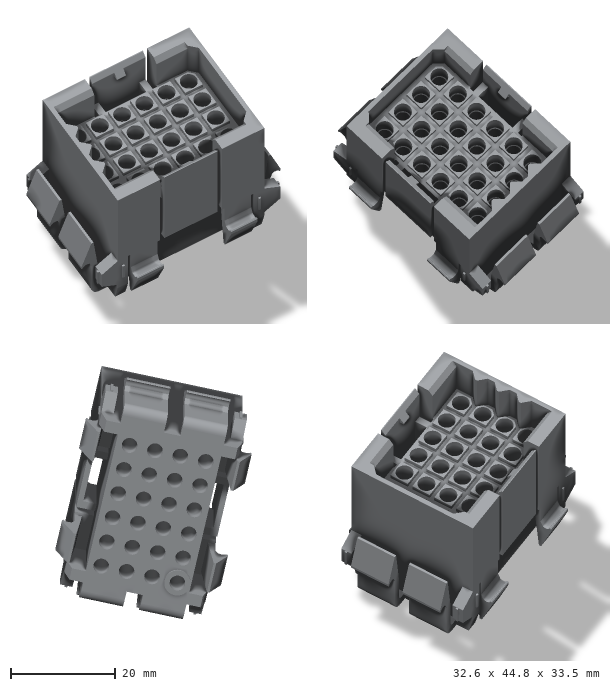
import cadquery as cq

body_x = 27.78
body_y = 32.97
body_z = 33.0
half_x = body_x / 2
half_y = body_y / 2
core_half_x = 10.15
floor_z = 24.77
taper_z = 4.05
taper_x = 1.0

cavity_half_x = 10.4
cavity_half_y = 15.55
cavity_corner = 1.6
lead_in_x = 1.0
lead_in_z = 1.08
tooth_height = 1.52
tooth_tip = 0.45
tooth_base = 3.45

columns = 4
rows = 6
grid_length = 25.0
pitch = grid_length / (rows - 1)
post_side = 3.95
post_height = 0.9
post_top_z = floor_z + post_height
post_bevel = 1.0
hole_diameter = 3.0
bore_diameter = 3.45
bore_depth = 4.5
collar_diameter = 5.05
collar_height = 0.5

opening_half_y = 7.0
opening_low_half_y = 14.15
opening_low_z = 12.95
panel_half_y = 6.0
panel_thickness = 1.08
panel_top_flat = 0.2
panel_bevel_z = 1.0
rib_width = 1.45
nub_width = 2.0
nub_reach = 1.0
nub_nose_height = 0.22

arm_y_near = 7.53
arm_y_far = 13.55
arm_root_thickness = 1.52
arm_bottom_z = 1.08
arm_bottom_x = (13.55, 14.0)
snap_reach = 16.3
snap_face_z = (7.12, 7.95)
snap_tip = (16.1, 8.1)
snap_groove_rim = (16.0, 8.1)
snap_groove_floor = ((15.05, 7.45), (14.6, 7.53))
snap_groove_top_z = 8.83
snap_groove_foot = (14.35, 7.8)
snap_groove_radii = (1.0, 0.4)

clip_x_near = 1.6
clip_base_z = 1.85
clip_outer_y = 20.05
clip_inner_y = 18.65
clip_outer_radius = 1.9
clip_inner_radius = 0.9
clip_bend_z = 8.2
clip_reach = 22.4
clip_face_z = (10.15, 10.75)
clip_barb = (22.18, 10.05)
clip_groove_roof = ((21.32, 10.75), (20.8, 10.75))
clip_groove_bottom_z = 9.27
clip_groove_foot = (20.5, 10.45)
clip_groove_radii = (0.85, 0.4)
clip_top_y = (19.65, 20.15)
clip_top_z = 17.02

ear_width = 2.37
ear_outer_y = 20.05
ear_root_z = (5.1, 12.95)
ear_tip_z = (7.05, 10.98)
crush_width = 0.5
crush_height = 0.35
crush_z = (7.15, 10.95)
side_crush_y = 15.3

column_x = [(i - (columns - 1) / 2) * pitch for i in range(columns)]
row_y = [(j - (rows - 1) / 2) * pitch for j in range(rows)]


def span_box(x, y, z):
    """Box between pairs of limits along X, Y and Z."""
    size = [abs(b - a) for a, b in (x, y, z)]
    corner = [min(pair) for pair in (x, y, z)]
    return cq.Workplane("XY").box(*size, centered=False).translate(tuple(corner))


def mirrored_x(shape):
    return shape.union(shape.mirror("YZ"))


def mirrored_y(shape):
    return shape.union(shape.mirror("XZ"))


def extrude_along_y(profile, y_start, y_end):
    """Extrude an XZ profile between two Y positions."""
    return profile.extrude(y_start - y_end).translate((0, y_start, 0))


def housing():
    body = span_box((-half_x, half_x), (-half_y, half_y), (0, body_z))
    taper = (
        cq.Workplane("XZ")
        .moveTo(half_x, 0)
        .lineTo(half_x, taper_z)
        .lineTo(half_x - taper_x, 0)
        .close()
    )
    return body.cut(mirrored_x(extrude_along_y(taper, -half_y, half_y)))


def upper_cavity():
    height = body_z - floor_z
    cavity = span_box(
        (-cavity_half_x, cavity_half_x), (-cavity_half_y, cavity_half_y), (floor_z, body_z)
    )
    cavity = cavity.edges("|Z and >Y").chamfer(cavity_corner)
    for x in (-pitch, 0, pitch):
        tooth = (
            cq.Workplane("XY", origin=(x, -cavity_half_y, floor_z))
            .moveTo(-tooth_base / 2, 0)
            .lineTo(-tooth_tip / 2, tooth_height)
            .lineTo(tooth_tip / 2, tooth_height)
            .lineTo(tooth_base / 2, 0)
            .close()
            .extrude(height)
        )
        cavity = cavity.cut(tooth)
    lead_in = (
        cq.Workplane("XZ")
        .moveTo(cavity_half_x, body_z)
        .lineTo(cavity_half_x, body_z - lead_in_z)
        .lineTo(cavity_half_x + lead_in_x, body_z)
        .close()
    )
    lead_in = extrude_along_y(lead_in, -cavity_half_y, cavity_half_y - cavity_corner)
    return cavity.union(mirrored_x(lead_in))


def side_openings():
    upper = span_box((core_half_x, half_x), (-opening_half_y, opening_half_y), (0, body_z))
    lower = span_box(
        (core_half_x, half_x), (-opening_low_half_y, opening_low_half_y), (0, opening_low_z)
    )
    return mirrored_x(upper.union(lower))


def latch_panels():
    inner_x = half_x - panel_thickness
    bevel_z = body_z - panel_bevel_z
    bevel_slope = panel_bevel_z / (panel_thickness - panel_top_flat)
    nub_x = inner_x - nub_reach
    ramp_z = bevel_z - nub_reach * bevel_slope
    nub_z = ramp_z - nub_nose_height
    panel = (
        cq.Workplane("XZ")
        .moveTo(half_x, opening_low_z)
        .lineTo(half_x, body_z)
        .lineTo(half_x - panel_top_flat, body_z)
        .lineTo(inner_x, bevel_z)
        .lineTo(inner_x, opening_low_z)
        .close()
    )
    nub = (
        cq.Workplane("XZ")
        .moveTo(inner_x, bevel_z)
        .lineTo(nub_x, ramp_z)
        .lineTo(nub_x, nub_z)
        .lineTo(inner_x, nub_z)
        .close()
    )
    panel = extrude_along_y(panel, -panel_half_y, panel_half_y)
    nub = extrude_along_y(nub, -nub_width / 2, nub_width / 2)
    ribs = mirrored_y(
        span_box(
            (core_half_x, inner_x),
            (panel_half_y - rib_width, panel_half_y),
            (opening_low_z, floor_z),
        )
    )
    return mirrored_x(panel.union(nub).union(ribs))


def snap_arms():
    profile = (
        cq.Workplane("XZ")
        .moveTo(half_x, opening_low_z)
        .lineTo(half_x, snap_groove_top_z)
        .lineTo(*snap_groove_foot)
        .radiusArc(snap_groove_floor[1], -snap_groove_radii[1])
        .lineTo(*snap_groove_floor[0])
        .radiusArc(snap_groove_rim, -snap_groove_radii[0])
        .lineTo(*snap_tip)
        .lineTo(snap_reach, snap_face_z[1])
        .lineTo(snap_reach, snap_face_z[0])
        .lineTo(arm_bottom_x[1], arm_bottom_z)
        .lineTo(arm_bottom_x[0], arm_bottom_z)
        .lineTo(half_x - arm_root_thickness, opening_low_z)
        .close()
    )
    arm = extrude_along_y(profile, arm_y_near, arm_y_far)
    return mirrored_x(mirrored_y(arm))


def spring_clips():
    profile = (
        cq.Workplane("YZ")
        .moveTo(half_y, 0)
        .lineTo(clip_outer_y - clip_outer_radius, 0)
        .radiusArc((clip_outer_y, clip_outer_radius), -clip_outer_radius)
        .lineTo(clip_outer_y, clip_groove_bottom_z)
        .lineTo(*clip_groove_foot)
        .radiusArc(clip_groove_roof[1], clip_groove_radii[1])
        .lineTo(*clip_groove_roof[0])
        .radiusArc(clip_barb, clip_groove_radii[0])
        .lineTo(clip_reach, clip_face_z[0])
        .lineTo(clip_reach, clip_face_z[1])
        .lineTo(clip_top_y[1], clip_top_z)
        .lineTo(clip_top_y[0], clip_top_z)
        .lineTo(clip_inner_y, clip_bend_z)
        .lineTo(clip_inner_y, clip_base_z + clip_inner_radius)
        .radiusArc((clip_inner_y - clip_inner_radius, clip_base_z), clip_inner_radius)
        .lineTo(half_y, clip_base_z)
        .close()
    )
    clip = profile.extrude(core_half_x - clip_x_near).translate((clip_x_near, 0, 0))
    return mirrored_x(mirrored_y(clip))


def end_ears():
    ear = (
        cq.Workplane("YZ", origin=(half_x - ear_width, 0, 0))
        .moveTo(half_y, ear_root_z[0])
        .lineTo(ear_outer_y, ear_tip_z[0])
        .lineTo(ear_outer_y, ear_tip_z[1])
        .lineTo(half_y, ear_root_z[1])
        .close()
        .extrude(ear_width)
    )
    end_x = half_x - ear_width / 2
    half_width = crush_width / 2
    end_rib = span_box(
        (end_x - half_width, end_x + half_width),
        (half_y, ear_outer_y + crush_height),
        crush_z,
    )
    side_rib = span_box(
        (half_x, half_x + crush_height),
        (side_crush_y - half_width, side_crush_y + half_width),
        crush_z,
    )
    return mirrored_x(mirrored_y(ear.union(end_rib).union(side_rib)))


def post(column, row):
    """Square post, bevelled where it faces a cavity corner or a polarising tooth."""
    block = (
        cq.Workplane("XY", origin=(column_x[column], row_y[row], floor_z))
        .rect(post_side, post_side)
        .extrude(post_height)
    )
    left, right = "|Z and <X", "|Z and >X"
    if row == rows - 1 and column == 0:
        block = block.edges(left + " and >Y").chamfer(post_bevel)
    if row == rows - 1 and column == columns - 1:
        block = block.edges(right + " and >Y").chamfer(post_bevel)
    if row == 0 and column > 0:
        block = block.edges(left + " and <Y").chamfer(post_bevel)
    if row == 0 and column < columns - 1:
        block = block.edges(right + " and <Y").chamfer(post_bevel)
    return block


def hole_grid(diameter, z_bottom):
    """Vertical cylinders on every contact position, up to the top of the posts."""
    points = [(x, y) for x in column_x for y in row_y]
    return (
        cq.Workplane("XY", origin=(0, 0, z_bottom))
        .pushPoints(points)
        .circle(diameter / 2)
        .extrude(post_top_z - z_bottom)
    )


def collar():
    return (
        cq.Workplane("XY", origin=(column_x[0], row_y[0], -collar_height))
        .circle(collar_diameter / 2)
        .extrude(collar_height)
    )


part = housing().cut(upper_cavity()).cut(side_openings())
for feature in (latch_panels(), snap_arms(), spring_clips(), end_ears(), collar()):
    part = part.union(feature)
for column in range(columns):
    for row in range(rows):
        part = part.union(post(column, row))
part = part.cut(hole_grid(hole_diameter, -collar_height))
result = part.cut(hole_grid(bore_diameter, post_top_z - bore_depth))